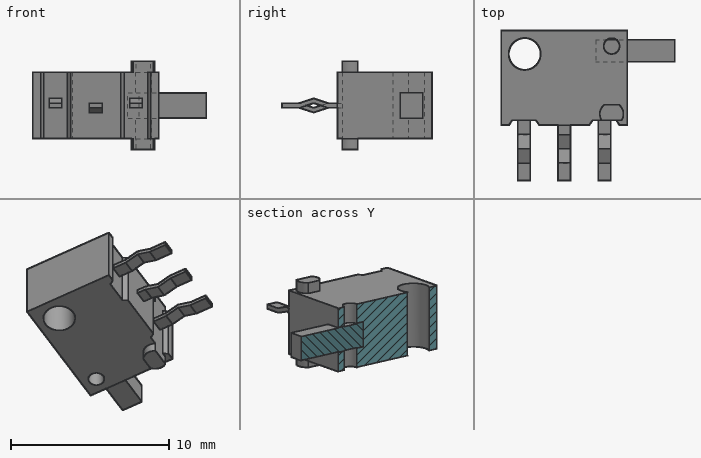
import cadquery as cq
import math

overall_length = 11.0
overall_depth = 9.5
overall_height = 5.6

housing_length = 8.0
housing_depth = 6.0
housing_height = 4.2

large_hole_diameter = 2.0
large_hole_inset = 1.5
small_hole_diameter = 1.0
small_hole_x = 7.0
small_hole_inset = 1.0

notch_depth = 0.3
notch_floor_width = 1.5
notch_mouth_width = 1.9

boss_diameter = 1.5
boss_y = 0.7
boss_back_flat = 1.3
boss_x = small_hole_x
boss_height = (overall_height - housing_height) / 2

terminal_pitch = 2.54
terminal_width = 0.8
terminal_thickness = 0.3
kink_rise = 0.3
kink_start = 0.59
kink_peak = 1.5
terminal_reach = overall_depth - housing_depth

plunger_depth = 1.41
plunger_height = 1.61
plunger_inset = 0.59
plunger_inner_x = 6.0
plunger_length = overall_length - plunger_inner_x
plunger_y = housing_depth - plunger_inset - plunger_depth

middle_x = housing_length / 2


def make_plunger():
    """Rectangular bar running from inside the housing out through its right face."""
    return (
        cq.Workplane("XY")
        .box(plunger_length, plunger_depth, plunger_height, centered=(False, False, True))
        .translate((plunger_inner_x, plunger_y, 0))
    )


def make_notch(center_x):
    """Full-height notch with sloping sides in the front face."""
    half_floor = notch_floor_width / 2
    half_mouth = notch_mouth_width / 2
    return (
        cq.Workplane("XY", origin=(center_x, 0, -housing_height / 2))
        .polyline([
            (-half_mouth, 0),
            (-half_floor, notch_depth),
            (half_floor, notch_depth),
            (half_mouth, 0),
        ])
        .close()
        .extrude(housing_height)
    )


def make_bosses():
    """Truncated cylinder through the full height; its ends form the two bosses."""
    cylinder = (
        cq.Workplane("XY", origin=(boss_x, boss_y, -overall_height / 2))
        .circle(boss_diameter / 2)
        .extrude(housing_height + 2 * boss_height)
    )
    between_flats = (
        cq.Workplane("XY")
        .box(boss_diameter, boss_back_flat - notch_depth, overall_height, centered=(True, False, True))
        .translate((boss_x, notch_depth, 0))
    )
    return cylinder.intersect(between_flats)


def make_hole(center_x, inset, diameter):
    """Vertical through-hole cutter, placed by its distance from the back face."""
    return (
        cq.Workplane("XY", origin=(center_x, housing_depth - inset, -housing_height / 2))
        .circle(diameter / 2)
        .extrude(housing_height)
    )


def make_terminal(center_x, direction):
    """Flat strip of constant thickness, kinked up (direction 1) or down (-1)."""
    slope = math.atan(kink_rise / (kink_peak - kink_start))
    half_thickness = terminal_thickness / 2
    bend_shift = half_thickness * math.tan(slope / 2)
    peak_half_height = half_thickness / math.cos(slope)
    kink_end = 2 * kink_peak - kink_start

    def edge(side):
        """Points along the strip's outer (1) or inner (-1) side of the kink."""
        return [
            (notch_depth, side * half_thickness),
            (-kink_start + side * bend_shift, side * half_thickness),
            (-kink_peak, kink_rise + side * peak_half_height),
            (-kink_end - side * bend_shift, side * half_thickness),
            (-terminal_reach, side * half_thickness),
        ]

    outline = [(y, direction * z) for y, z in edge(1) + edge(-1)[::-1]]
    return (
        cq.Workplane("YZ", origin=(center_x - terminal_width / 2, 0, 0))
        .polyline(outline)
        .close()
        .extrude(terminal_width)
    )


def make_housing():
    """Block with bosses and fixed terminals, bored and fitted to the plunger."""
    body = cq.Workplane("XY").box(
        housing_length, housing_depth, housing_height, centered=(False, False, True)
    )
    for side in (-1, 1):
        body = body.cut(make_notch(middle_x + side * terminal_pitch))
    body = body.union(make_bosses())
    body = body.cut(make_hole(large_hole_inset, large_hole_inset, large_hole_diameter))
    body = body.cut(make_hole(small_hole_x, small_hole_inset, small_hole_diameter))
    body = body.cut(make_plunger())
    for position, direction in ((-1, 1), (0, -1), (1, 1)):
        body = body.union(make_terminal(middle_x + position * terminal_pitch, direction))
    return body


housing = make_housing()
plunger = make_plunger()
result = cq.Compound.makeCompound([housing.val(), plunger.val()])